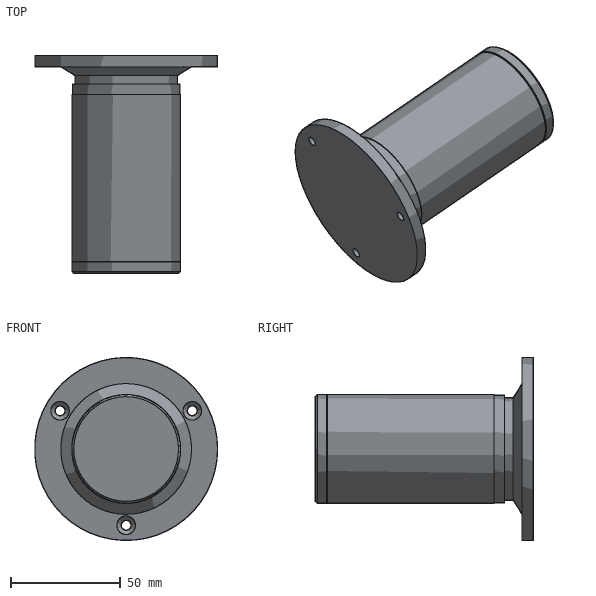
import cadquery as cq
import math

total_length = 100.0
flange_thickness = 5.2
cone_length = 4.0
neck_length = 3.9
collar_length = 4.9
cap_length = 5.2
groove_width = 0.4

flange_radius = 42.0
cone_base_radius = 30.0
neck_radius = 23.6
collar_radius = 24.7
body_radius = 25.0
groove_depth = 0.3
end_chamfer = 1.0

screw_count = 3
screw_circle_radius = 35.0
screw_diameter = 4.4
countersink_diameter = 8.5
countersink_angle = 90.0
first_screw_angle = -90.0

cone_end = flange_thickness + cone_length
neck_end = cone_end + neck_length
collar_end = neck_end + collar_length
cap_start = total_length - cap_length
groove_start = cap_start - groove_width


def turned_body():
    """Flange, cone, neck, collar and capped cylinder turned about the Y axis."""
    groove_radius = body_radius - groove_depth
    profile = [
        (0, 0),
        (flange_radius, 0),
        (flange_radius, -flange_thickness),
        (cone_base_radius, -flange_thickness),
        (neck_radius, -cone_end),
        (neck_radius, -neck_end),
        (collar_radius, -neck_end),
        (collar_radius, -collar_end),
        (body_radius, -collar_end),
        (body_radius, -groove_start),
        (groove_radius, -groove_start),
        (groove_radius, -cap_start),
        (body_radius, -cap_start),
        (body_radius, end_chamfer - total_length),
        (body_radius - end_chamfer, -total_length),
        (0, -total_length),
    ]
    return cq.Workplane("XY").polyline(profile).close().revolve(360, (0, 0, 0), (0, 1, 0))


def drill_screw_holes(body):
    """Drill evenly spaced holes through the flange, countersunk from the front."""
    angles = [math.radians(first_screw_angle + i * 360 / screw_count) for i in range(screw_count)]
    centers = [(screw_circle_radius * math.cos(a), screw_circle_radius * math.sin(a)) for a in angles]
    flange_front = cq.Workplane("XZ", origin=(0, -flange_thickness, 0))
    return (
        flange_front.add(body)
        .pushPoints(centers)
        .cskHole(screw_diameter, countersink_diameter, countersink_angle, depth=flange_thickness)
    )


result = drill_screw_holes(turned_body())